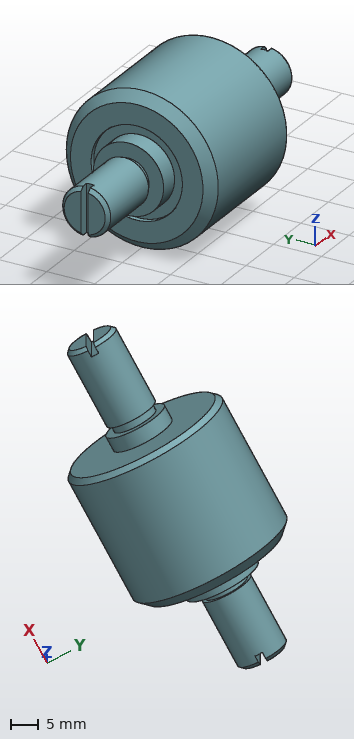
import cadquery as cq

total_length = 67.5
body_diameter = 31.6
body_start = 19.0
body_length = 28.0
front_body_chamfer = 2.0
rear_body_chamfer = 1.0

recess_diameter = 19.0
recess_depth = 1.0

front_collar_diameter = 14.6
rear_collar_diameter = 12.0
collar_length = 3.0

shaft_diameter = 10.0
neck_diameter = 8.5
front_neck_length = 1.5
rear_shaft_length = 16.0
shaft_chamfer = (shaft_diameter - neck_diameter) / 2

slot_width = 1.5
slot_depth = 2.0

body_end = body_start + body_length
front_collar_start = body_start - collar_length
front_neck_start = front_collar_start - front_neck_length
rear_collar_end = body_end + collar_length
rear_neck_end = total_length - rear_shaft_length


def cylinder(diameter, start, end):
    """Solid cylinder along X between two stations."""
    return cq.Workplane("YZ", origin=(start, 0, 0)).circle(diameter / 2).extrude(end - start)


def make_body():
    """Roller body with unequal edge chamfers and the recess in its front face."""
    body = cylinder(body_diameter, body_start, body_end)
    body = body.faces("<X").chamfer(front_body_chamfer)
    body = body.faces(">X").chamfer(rear_body_chamfer)
    return body.cut(cylinder(recess_diameter, body_start, body_start + recess_depth))


def make_spindle():
    """Stepped spindle that passes through the body."""
    front_shaft = cylinder(shaft_diameter, 0, front_neck_start).faces("<X").chamfer(shaft_chamfer)
    rear_shaft = cylinder(shaft_diameter, rear_neck_end, total_length).faces(">X").chamfer(shaft_chamfer)
    neck = cylinder(neck_diameter, front_neck_start, rear_neck_end)
    front_collar = cylinder(front_collar_diameter, front_collar_start, body_start + recess_depth)
    rear_collar = cylinder(rear_collar_diameter, body_end, rear_collar_end)
    return neck.union(front_shaft).union(rear_shaft).union(front_collar).union(rear_collar)


def make_slot(center_x):
    """Cutter for a slot that runs right through a shaft end along Z."""
    return cq.Workplane("XY").box(2 * slot_depth, slot_width, shaft_diameter).translate((center_x, 0, 0))


result = make_body().union(make_spindle())
for shaft_end in (0, total_length):
    result = result.cut(make_slot(shaft_end))